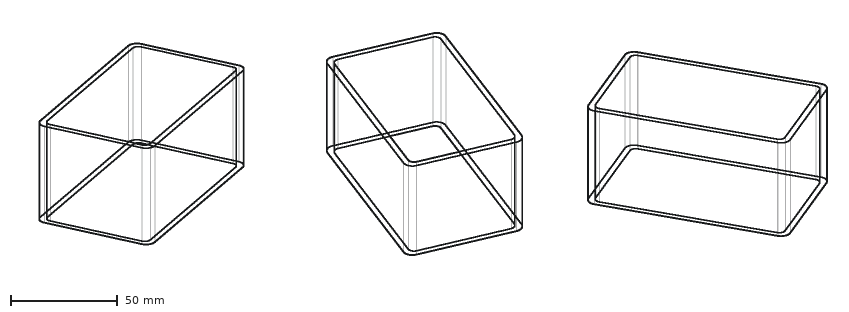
import cadquery as cq

width = 60.0
length = 100.0
height = 50.0
wall = 3.0
outer_radius = 4.5
inner_radius = 3.0


def rounded_block(size_x, size_y, corner_radius):
    """Block of the tube's height with rounded vertical edges, centred on the origin."""
    block = cq.Workplane("XY").box(size_x, size_y, height)
    return block.edges("|Z").fillet(corner_radius)


outer_block = rounded_block(width, length, outer_radius)
opening = rounded_block(width - 2 * wall, length - 2 * wall, inner_radius)

result = outer_block.cut(opening)